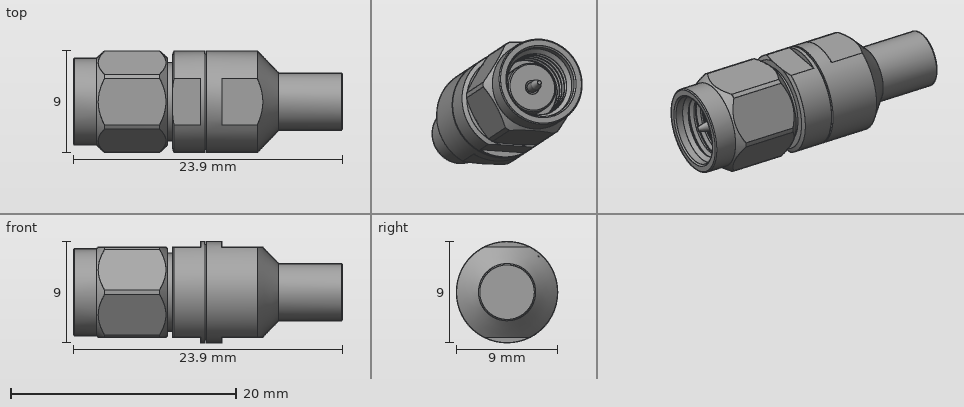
import cadquery as cq
import math


collar_r = 3.87
collar_end_x = 2.05
collar_edge = 0.1
hex_sides = 6
hex_across_flats = 8.0
hex_corner_r = 4.5
hex_end_x = 8.35
hex_bevel_length = 0.7
hex_bevel_r = collar_r

neck_r = 3.48
body_x = 8.77
body_r = 4.5
body_bevel_length = 0.15
body_bevel_depth = 0.4
body_end_x = 16.32
groove_x = 11.65
groove_width = 0.15
groove_depth = 0.25
body_across_flats = hex_across_flats
flange_x = 11.28
flange_end_x = 13.16

tail_r = 2.54
tail_x = 18.21
tail_end_x = 23.88
tail_edge = 0.12

bore_r = 3.13
bore_edge = 0.14
bore_end_x = 0.82
thread_minor_r = 2.77
thread_pitch = 0.7055
thread_crest_x = 1.76
thread_crest_width = thread_pitch / 4
thread_root_width = thread_pitch / 8
thread_groove_count = 4
thread_flank_angle = 30
socket_floor_x = 4.2

core_r = 2.2
core_face_x = 2.5
core_edge = 0.12
pin_r = 0.456
pin_tip_r = 0.18
pin_tip_x = 0.46
pin_shoulder_x = 1.43
pin_recess_r = 0.62
pin_recess_depth = 0.1


def revolve_profile(points):
    """Revolve a closed outline of (x, radius) points about the X axis."""
    return cq.Workplane("XY").polyline(points).close().revolve(360, (0, 0, 0), (1, 0, 0))


def cylinder(start_x, end_x, radius):
    return cq.Workplane("YZ").workplane(offset=start_x).circle(radius).extrude(end_x - start_x)


def make_collar():
    return cylinder(0, collar_end_x, collar_r).faces("<X").chamfer(collar_edge)


def make_hex():
    """Hexagon with flats facing +Z and -Z, its corners trimmed by a bevelled cylinder."""
    corner_diameter = hex_across_flats / math.cos(math.pi / hex_sides)
    prism = (
        cq.Workplane("YZ")
        .workplane(offset=collar_end_x)
        .polygon(hex_sides, corner_diameter)
        .extrude(hex_end_x - collar_end_x)
    )
    envelope = revolve_profile([
        (collar_end_x, 0),
        (collar_end_x, hex_bevel_r),
        (collar_end_x + hex_bevel_length, hex_corner_r),
        (hex_end_x - hex_bevel_length, hex_corner_r),
        (hex_end_x, hex_bevel_r),
        (hex_end_x, 0),
    ])
    return prism.intersect(envelope)


def make_body():
    """Body and tail in one revolved outline, with a narrow groove around the flange."""
    groove_end_x = groove_x + groove_width
    groove_r = body_r - groove_depth
    return revolve_profile([
        (body_x, 0),
        (body_x, body_r - body_bevel_depth),
        (body_x + body_bevel_length, body_r),
        (groove_x, body_r),
        (groove_x, groove_r),
        (groove_end_x, groove_r),
        (groove_end_x, body_r),
        (body_end_x, body_r),
        (tail_x, tail_r),
        (tail_end_x - tail_edge, tail_r),
        (tail_end_x, tail_r - tail_edge),
        (tail_end_x, 0),
    ])


def cut_wrench_flats(body):
    """Cut top and bottom flats on both sides of the full-round flange."""
    flat_height = body_across_flats / 2
    for start_x, end_x in [(body_x, flange_x), (flange_end_x, tail_x)]:
        for side in (1, -1):
            cutter = (
                cq.Workplane("XY")
                .workplane(offset=side * flat_height)
                .center((start_x + end_x) / 2, 0)
                .rect(end_x - start_x, 2 * body_r)
                .extrude(side * body_r)
            )
            body = body.cut(cutter)
    return body


def make_socket():
    """Hollow of the nut: edge bevel, smooth bore, 45 degree lead-in, threaded bore."""
    lead_in_end_x = bore_end_x + bore_r - thread_minor_r
    return revolve_profile([
        (0, 0),
        (0, bore_r + bore_edge),
        (bore_edge, bore_r),
        (bore_end_x, bore_r),
        (lead_in_end_x, thread_minor_r),
        (socket_floor_x, thread_minor_r),
        (socket_floor_x, 0),
    ])


def make_thread_groove(end_x):
    """One ring groove of the thread, ending where the next crest begins."""
    start_x = end_x - (thread_pitch - thread_crest_width)
    flank_length = (end_x - start_x - thread_root_width) / 2
    root_r = thread_minor_r + flank_length / math.tan(math.radians(thread_flank_angle))
    return revolve_profile([
        (start_x, 0),
        (start_x, thread_minor_r),
        (start_x + flank_length, root_r),
        (end_x - flank_length, root_r),
        (end_x, thread_minor_r),
        (end_x, 0),
    ])


def make_core():
    """Insulator with a bevelled rim and a shallow recess around the pin."""
    core = cylinder(core_face_x, socket_floor_x, core_r).faces("<X").chamfer(core_edge)
    recess = cylinder(core_face_x, core_face_x + pin_recess_depth, pin_recess_r)
    return core.cut(recess)


def make_pin():
    return revolve_profile([
        (pin_tip_x, 0),
        (pin_tip_x, pin_tip_r),
        (pin_shoulder_x, pin_r),
        (socket_floor_x, pin_r),
        (socket_floor_x, 0),
    ])


shell = make_collar().union(make_hex())
shell = shell.union(cylinder(hex_end_x, body_x, neck_r))
shell = shell.union(cut_wrench_flats(make_body()))

shell = shell.cut(make_socket())
for groove_index in range(thread_groove_count):
    shell = shell.cut(make_thread_groove(thread_crest_x + groove_index * thread_pitch))

result = shell.union(make_core()).union(make_pin())